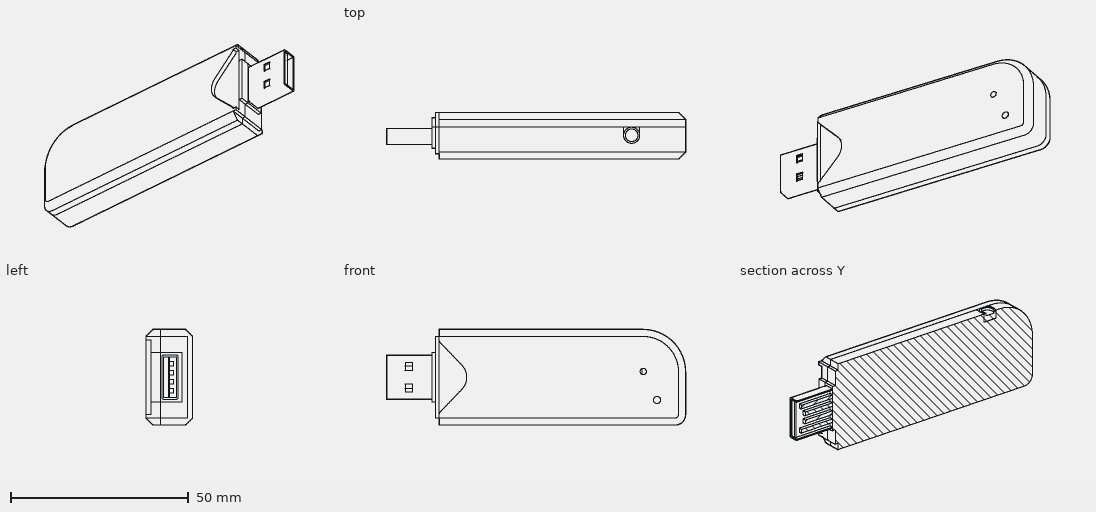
import cadquery as cq
import math


total_length = 84.0
housing_length = 69.3
housing_height = 27.0
rear_thickness = 4.2
front_thickness = 9.0
edge_chamfer = 2.0
top_corner_radius = 12.0
bottom_corner_radius = 3.0

flange_thickness = 1.0
flange_inset = 1.5
small_flange_height = 13.95

notch_depth = 1.4
notch_half_width = 10.1
notch_length = 9.7
notch_tip_radius = 4.9
notch_shoulder_radius = 1.1
ear_half_gap = 10.5

lamp_diameter = 2.0
lamp_x = 75.9
lamp_z = -6.4
lamp_recess = 1.5
lamp_length = 2.0
sensor_diameter = 1.8
sensor_x = 72.1
sensor_z = 1.6
sensor_depth = 2.0
sensor_step_depth = 0.4
sensor_step_offset = 0.3

socket_diameter = 4.5
socket_bore = 3.5
socket_bore_depth = 0.75
socket_length = 2.5
socket_x = 68.8

plug_height = 12.4
plug_thickness = 4.5
plug_wall = 0.5
plug_gap_to_joint = 0.3
plug_edge_radius = 0.5
tongue_thickness = 1.6
tongue_recess = 0.25
tongue_chamfer = 0.25
window_length = 1.9
window_height = 2.35
window_x = 6.2
window_z = 3.0

contact_count = 4
contact_width = 1.3
contact_height = 1.1
contact_pitch = 2.5
outer_contact_start = 1.7
inner_contact_start = 3.0

pick_margin = 0.1

housing_x = total_length - housing_length
flange_x = housing_x - flange_thickness
plug_length = flange_x - flange_thickness
half_height = housing_height / 2
front_y = -front_thickness
rear_y = rear_thickness
plug_rear_y = -plug_gap_to_joint
plug_front_y = plug_rear_y - plug_thickness
tongue_rear_y = plug_rear_y - plug_wall
tongue_front_y = tongue_rear_y - tongue_thickness
socket_y = -socket_diameter / 2


def block(x_range, y_range, z_range):
    """Box given by its limits along each axis."""
    sizes = [high - low for low, high in (x_range, y_range, z_range)]
    corner = (x_range[0], y_range[0], z_range[0])
    return cq.Workplane("XY").box(*sizes, centered=False).translate(corner)


def rod_along_y(diameter, x, z, y_start, length):
    """Cylinder that starts at y_start and runs toward +Y."""
    direction = cq.Vector(0, 1, 0)
    return cq.Workplane(cq.Solid.makeCylinder(diameter / 2, length, cq.Vector(x, y_start, z), direction))


def rod_down(diameter, length):
    """Vertical cylinder below the top edge, at the socket."""
    start = cq.Vector(socket_x, socket_y, half_height - length)
    return cq.Workplane(cq.Solid.makeCylinder(diameter / 2, length, start))


def housing_blank():
    """Rounded slab whose broad faces are chamfered all round except at the plug end."""
    diagonal = math.sqrt(0.5)
    top_x = total_length - top_corner_radius
    top_z = half_height - top_corner_radius
    bottom_x = total_length - bottom_corner_radius
    bottom_z = bottom_corner_radius - half_height
    top_mid = (top_x + top_corner_radius * diagonal, top_z + top_corner_radius * diagonal)
    bottom_mid = (bottom_x + bottom_corner_radius * diagonal, bottom_z - bottom_corner_radius * diagonal)
    slab = (
        cq.Workplane("XZ", origin=(0, rear_y, 0))
        .moveTo(housing_x, -half_height)
        .lineTo(housing_x, half_height)
        .lineTo(top_x, half_height)
        .threePointArc(top_mid, (total_length, top_z))
        .lineTo(total_length, bottom_z)
        .threePointArc(bottom_mid, (bottom_x, -half_height))
        .close()
        .extrude(rear_thickness + front_thickness)
    )
    plug_end = cq.selectors.BoxSelector(
        (housing_x - pick_margin, front_y - pick_margin, -pick_margin),
        (housing_x + pick_margin, rear_y + pick_margin, pick_margin),
    )
    return slab.faces("<Y or >Y").edges(cq.selectors.InverseSelector(plug_end)).chamfer(edge_chamfer)


def finger_notch(face_y):
    """Cutter for one V notch, starting at face_y and running toward +Y."""
    return (
        cq.Workplane("XZ", origin=(0, face_y + notch_depth, 0))
        .polyline([
            (housing_x, notch_half_width),
            (housing_x + notch_length, 0),
            (housing_x, -notch_half_width),
        ])
        .close()
        .extrude(notch_depth)
        .edges("|Y and >X")
        .fillet(notch_tip_radius)
    )


def notched_housing():
    """Housing blank with both notches, their shoulders rounded into the end face."""
    body = housing_blank()
    for face_y in (front_y, rear_y - notch_depth):
        body = body.cut(finger_notch(face_y))
    for side in (-1, 1):
        shoulder = cq.selectors.BoxSelector(
            (housing_x - pick_margin, front_y - pick_margin, side * notch_half_width - pick_margin),
            (housing_x + pick_margin, rear_y + pick_margin, side * notch_half_width + pick_margin),
        )
        body = body.edges("|Y").edges(shoulder).fillet(notch_shoulder_radius)
    return body


def flanges():
    """Large flange with two rear ears, and the small flange in front of it."""
    large_half = half_height - edge_chamfer
    small_half = small_flange_height / 2
    large = block((flange_x, housing_x), (front_y + flange_inset, rear_y), (-large_half, large_half))
    ear_gap = block((flange_x, housing_x), (rear_y - notch_depth, rear_y), (-ear_half_gap, ear_half_gap))
    small = block(
        (plug_length, flange_x),
        (front_y + 2 * flange_inset, rear_y - flange_inset),
        (-small_half, small_half),
    )
    return large.cut(ear_gap).union(small)


def sensor_hole():
    """Blind hole whose floor drops beyond a chord on the plug side."""
    deep = rod_along_y(sensor_diameter, sensor_x, sensor_z, front_y, sensor_depth + sensor_step_depth)
    radius = sensor_diameter / 2
    ledge = block(
        (sensor_x - sensor_step_offset, sensor_x + radius),
        (front_y + sensor_depth, front_y + sensor_depth + sensor_step_depth),
        (sensor_z - radius, sensor_z + radius),
    )
    return deep.cut(ledge)


def lamp_hole():
    return rod_along_y(lamp_diameter, lamp_x, lamp_z, front_y, lamp_recess + lamp_length)


def socket_slot():
    """U-shaped slot that opens onto the housing joint."""
    radius = socket_diameter / 2
    opening = block(
        (socket_x - radius, socket_x + radius),
        (socket_y, 0),
        (half_height - socket_length, half_height),
    )
    return rod_down(socket_diameter, socket_length).union(opening)


def make_rear_housing(whole):
    keep = block((0, total_length), (0, rear_y), (-half_height, half_height))
    return whole.intersect(keep)


def make_front_housing(whole):
    keep = block((0, total_length), (front_y, 0), (-half_height, half_height))
    return whole.intersect(keep).cut(sensor_hole()).cut(lamp_hole()).cut(socket_slot())


def make_plug():
    """Rectangular metal sleeve with its tongue and two windows in each broad wall."""
    half = plug_height / 2
    inner_half = half - plug_wall
    sleeve = block((0, plug_length), (plug_front_y, plug_rear_y), (-half, half))
    sleeve = sleeve.edges("|X").fillet(plug_edge_radius)
    mouth = block(
        (0, plug_length),
        (plug_front_y + plug_wall, tongue_rear_y),
        (-inner_half, inner_half),
    )
    tongue = block(
        (tongue_recess, plug_length),
        (tongue_front_y, tongue_rear_y),
        (-inner_half, inner_half),
    )
    tongue = tongue.edges("<X and <Y").chamfer(tongue_chamfer)
    sleeve = sleeve.cut(mouth).union(tongue)
    for wall_y in (plug_front_y, tongue_rear_y):
        for side in (-1, 1):
            sleeve = sleeve.cut(block(
                (window_x - window_length / 2, window_x + window_length / 2),
                (wall_y, wall_y + plug_wall),
                (side * window_z - window_height / 2, side * window_z + window_height / 2),
            ))
    return sleeve


def make_contact(index):
    """One contact bar on the tongue; the outer two start nearer the tip."""
    z = (index - (contact_count - 1) / 2) * contact_pitch
    is_outer = index in (0, contact_count - 1)
    start = outer_contact_start if is_outer else inner_contact_start
    return block(
        (start, plug_length),
        (tongue_front_y - contact_height, tongue_front_y),
        (z - contact_width / 2, z + contact_width / 2),
    )


def make_socket():
    """Round socket, flush with the top edge, with a blind bore."""
    return rod_down(socket_diameter, socket_length).cut(rod_down(socket_bore, socket_bore_depth))


def make_lamp():
    """Round lamp with a hemispherical front, set back in its hole."""
    radius = lamp_diameter / 2
    dome_y = front_y + lamp_recess + radius
    stem = rod_along_y(lamp_diameter, lamp_x, lamp_z, dome_y, lamp_length - radius)
    dome = cq.Workplane("XY").sphere(radius).translate((lamp_x, dome_y, lamp_z))
    return stem.union(dome)


whole_housing = notched_housing().union(flanges())
rear_housing = make_rear_housing(whole_housing)
front_housing = make_front_housing(whole_housing)
plug = make_plug()
contacts = [make_contact(index) for index in range(contact_count)]
socket = make_socket()
lamp = make_lamp()

result = cq.Compound.makeCompound([
    rear_housing.val(),
    front_housing.val(),
    plug.val(),
    *[contact.val() for contact in contacts],
    socket.val(),
    lamp.val(),
])